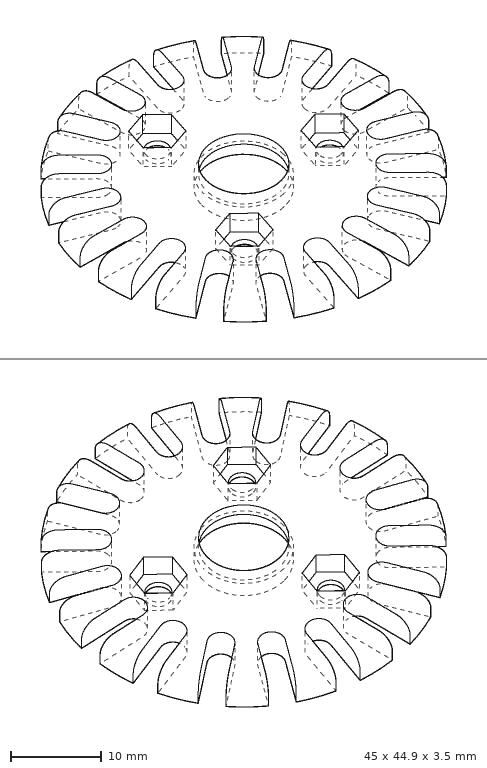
import cadquery as cq
import math

outer_radius = 22.5
thickness = 3.5
rim_fillet = 2.0

slot_count = 18
slot_width = 3.1
slot_floor_radius = 14.6
first_slot_angle = 90.0

bore_diameter = 10.0
counterbore_diameter = 11.0
counterbore_depth = 2.0

bolt_count = 3
bolt_circle_radius = 11.0
first_bolt_angle = 100.0
bolt_hole_diameter = 3.0
nut_sides = 6
nut_across_flats = 5.5
nut_pocket_depth = 2.8


def make_disc():
    disc = cq.Workplane("XY").circle(outer_radius).extrude(thickness)
    return disc.faces(">Z").edges().fillet(rim_fillet)


def make_slot(angle):
    """Radial slot with a round inner end, open at the rim."""
    end_centre = slot_floor_radius + slot_width / 2
    round_end = cq.Workplane("XY").center(end_centre, 0).circle(slot_width / 2).extrude(thickness)
    channel = cq.Workplane("XY").box(
        outer_radius, slot_width, thickness, centered=(False, True, False)
    ).translate((end_centre, 0, 0))
    return channel.union(round_end).rotate((0, 0, 0), (0, 0, 1), angle)


def make_bore():
    bore = cq.Workplane("XY").circle(bore_diameter / 2).extrude(thickness)
    counterbore = cq.Workplane("XY").circle(counterbore_diameter / 2).extrude(counterbore_depth)
    return bore.union(counterbore)


def make_bolt_hole(angle):
    """Through hole and nut pocket, with a flat of the hexagon facing the disc centre."""
    half_side_angle = 180 / nut_sides
    nut_across_corners = nut_across_flats / math.cos(math.radians(half_side_angle))
    hole = cq.Workplane("XY").circle(bolt_hole_diameter / 2).extrude(thickness)
    pocket = (
        cq.Workplane("XY", origin=(0, 0, thickness - nut_pocket_depth))
        .polygon(nut_sides, nut_across_corners)
        .extrude(nut_pocket_depth)
        .rotate((0, 0, 0), (0, 0, 1), half_side_angle)
    )
    cutter = hole.union(pocket).translate((bolt_circle_radius, 0, 0))
    return cutter.rotate((0, 0, 0), (0, 0, 1), angle)


result = make_disc().cut(make_bore())

for i in range(slot_count):
    result = result.cut(make_slot(first_slot_angle + i * 360 / slot_count))

for i in range(bolt_count):
    result = result.cut(make_bolt_hole(first_bolt_angle + i * 360 / bolt_count))